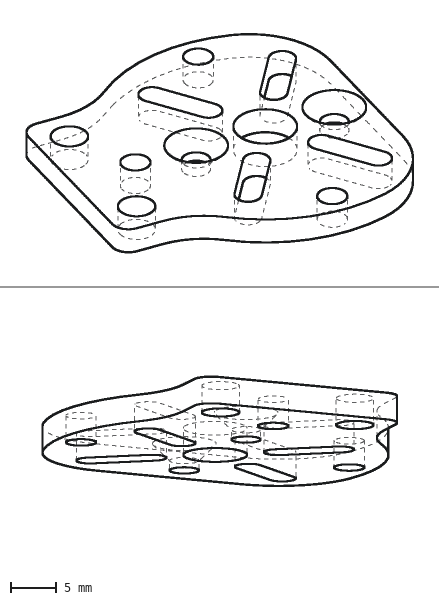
import cadquery as cq
import math

thickness = 3.0
head_radius = 19.0
top_y = 12.5
shoulder_radius = 10.0
neck_half_width = 12.0
neck_blend_radius = 10.0
bottom_y = -24.0
bottom_corner_radius = 2.0

centre_bore_diameter = 7.0
small_hole_diameter = 3.3
small_hole_distance = 16.0
foot_hole_diameter = 4.1
foot_hole_x = 8.0
foot_hole_y = -19.98

screw_hole_diameter = 3.2
countersink_diameter = 7.0
countersink_angle = 90
screw_hole_distance = 8.5

slot_width = 3.0
slot_inner_distance = 7.0
slot_outer_distance = 13.98
slot_angle = 35


def polar_point(radius, angle):
    """Point at a distance from the origin, with the angle in radians."""
    return (radius * math.cos(angle), radius * math.sin(angle))


def mirrored(point):
    """Point reflected to the -X side."""
    return (-point[0], point[1])


def make_plate():
    """Plate with a round head, a flat top and a narrower foot."""
    shoulder_y = top_y - shoulder_radius
    shoulder_angle = math.asin(shoulder_y / (head_radius - shoulder_radius))
    shoulder_x = (head_radius - shoulder_radius) * math.cos(shoulder_angle)
    shoulder_start = polar_point(head_radius, shoulder_angle)
    shoulder_end = (shoulder_x, top_y)
    middle_angle = (shoulder_angle + math.pi / 2) / 2
    middle_offset = polar_point(shoulder_radius, middle_angle)
    shoulder_middle = (shoulder_x + middle_offset[0], shoulder_y + middle_offset[1])

    blend_x = neck_half_width + neck_blend_radius
    blend_angle = -math.acos(blend_x / (head_radius + neck_blend_radius))
    blend_y = blend_x * math.tan(blend_angle)
    blend_start = (neck_half_width, blend_y)
    blend_end = polar_point(head_radius, blend_angle)
    middle_offset = polar_point(neck_blend_radius, blend_angle / 2)
    blend_middle = (blend_x - middle_offset[0], blend_y - middle_offset[1])

    head_side = (head_radius, 0)
    foot_corner = (neck_half_width, bottom_y)
    outline = (
        cq.Workplane("XY")
        .moveTo(*foot_corner)
        .lineTo(*blend_start)
        .threePointArc(blend_middle, blend_end)
        .threePointArc(head_side, shoulder_start)
        .threePointArc(shoulder_middle, shoulder_end)
        .lineTo(*mirrored(shoulder_end))
        .threePointArc(mirrored(shoulder_middle), mirrored(shoulder_start))
        .threePointArc(mirrored(head_side), mirrored(blend_end))
        .threePointArc(mirrored(blend_middle), mirrored(blend_start))
        .lineTo(*mirrored(foot_corner))
        .close()
    )
    plate = outline.extrude(thickness)
    return plate.edges("|Z").edges("<Y").fillet(bottom_corner_radius)


def top_plane(body):
    """Workplane on the upper face, centred on the head."""
    return body.faces(">Z").workplane(origin=(0, 0, thickness))


def cut_round_holes(body):
    """Centre bore, three small holes around it and two holes in the foot."""
    small_holes = [(-small_hole_distance, 0), (small_hole_distance, 0), (0, -small_hole_distance)]
    foot_holes = [(-foot_hole_x, foot_hole_y), (foot_hole_x, foot_hole_y)]
    body = top_plane(body).hole(centre_bore_diameter)
    body = top_plane(body).pushPoints(small_holes).hole(small_hole_diameter)
    return top_plane(body).pushPoints(foot_holes).hole(foot_hole_diameter)


def cut_screw_holes(body):
    """Countersunk holes above and below the centre bore."""
    places = [(0, screw_hole_distance), (0, -screw_hole_distance)]
    return top_plane(body).pushPoints(places).cskHole(
        screw_hole_diameter, countersink_diameter, countersink_angle
    )


def cut_slots(body):
    """Four through slots along lines from the head centre."""
    slot_middle = (slot_inner_distance + slot_outer_distance) / 2
    slot_length = slot_outer_distance - slot_inner_distance + slot_width
    for angle in (slot_angle, 180 - slot_angle, 180 + slot_angle, -slot_angle):
        slot = (
            cq.Workplane("XY")
            .center(slot_middle, 0)
            .slot2D(slot_length, slot_width)
            .extrude(thickness)
            .rotate((0, 0, 0), (0, 0, 1), angle)
        )
        body = body.cut(slot)
    return body


result = cut_slots(cut_screw_holes(cut_round_holes(make_plate())))